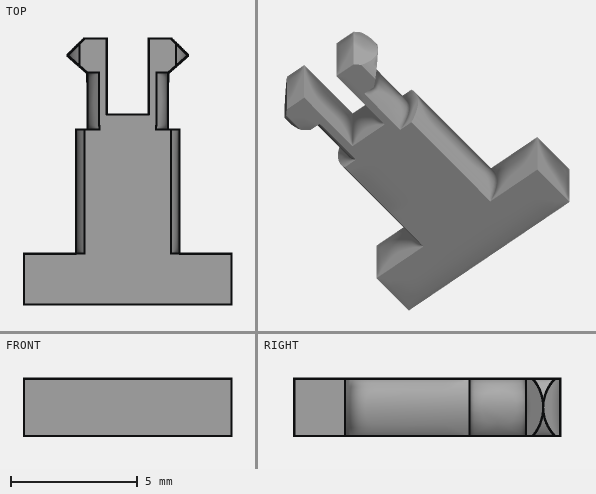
import cadquery as cq

total_length = 10.5
thickness = 2.27
base_width = 8.2
base_length = 2.01

body_radius = 2.05
body_end = 6.91
neck_root_radius = 1.6
neck_tip_radius = 1.61

slot_width = 1.64
slot_depth = 3.0

head_length = 1.35
head_start = total_length - head_length
barb_tip_x = 2.38
barb_tip_y = total_length - head_length / 2
head_front_x = 1.7
head_back_x = 1.62
head_side_radius = 1.6
head_side_center_x = barb_tip_x - head_side_radius


def cylinder_along_y(radius, start, end, center_x=0):
    """Cylinder parallel to Y between two Y positions."""
    return (
        cq.Workplane("XZ", origin=(center_x, start, 0))
        .circle(radius)
        .extrude(start - end)
    )


def slab(width, start, end):
    """Block of the full part thickness, centred on X."""
    return cq.Workplane("XY").box(width, end - start, thickness).translate((0, (start + end) / 2, 0))


def barb(side):
    """Pointed half of the head; its outer side is rounded across the thickness."""
    outline = [
        (0, head_start),
        (side * head_back_x, head_start),
        (side * barb_tip_x, barb_tip_y),
        (side * head_front_x, total_length),
        (0, total_length),
    ]
    wedge = (
        cq.Workplane("XY", origin=(0, 0, -thickness / 2))
        .polyline(outline)
        .close()
        .extrude(thickness)
    )
    center_x = side * head_side_center_x
    rounded_side = cylinder_along_y(head_side_radius, head_start, total_length, center_x)
    inner_block = slab(2 * head_side_center_x, head_start, total_length)
    return wedge.intersect(rounded_side.union(inner_block))


shank = cylinder_along_y(body_radius, 0, body_end)
neck = (
    cq.Workplane("XZ", origin=(0, body_end, 0))
    .circle(neck_root_radius)
    .workplane(offset=body_end - head_start)
    .circle(neck_tip_radius)
    .loft()
)
shank = shank.union(neck)
shank = shank.intersect(slab(base_width, 0, total_length))

result = slab(base_width, 0, base_length).union(shank)
for side in (-1, 1):
    result = result.union(barb(side))

result = result.cut(slab(slot_width, total_length - slot_depth, total_length))